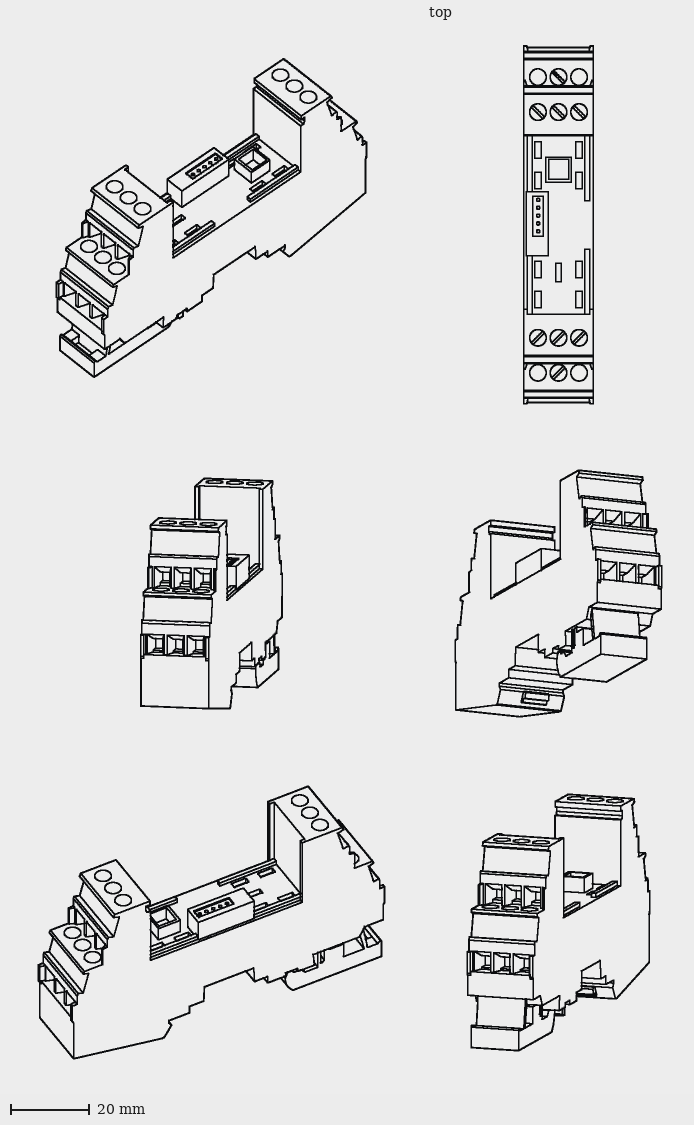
import cadquery as cq

WIDTH = 17.7
LENGTH = 91.05
HEIGHT = 50.98
HALF_WIDTH = WIDTH / 2
END_Y = LENGTH / 2

DECK_Z = 30.35
SHELF_Z = 35.25
RAIL_SEAT_Z = 13.9
BASE_Z = 6.9
STEP_Z = 9.1
FOOT_ROOF_Z = 10.7
CHIN_Z = 13.5
END_FACE_Y = END_Y - 0.35
HEAD_INNER_Y = 22.7
POST_INNER_Y = 21.45
KEEPER_BOTTOM_Y = 18.7
KEEPER_TOP_Y = 16.6

POLE_PITCH = 5.23
POLE_XS = [i * POLE_PITCH for i in (-1, 0, 1)]
SCREW_RADIUS = 2.1
SCREW_DEPTH = 5.0
DRIVER_SLOT_WIDTH = 0.65
DRIVER_SLOT_DEPTH = 0.6
DRIVER_SLOT_ANGLE = -45
UPPER_SCREW_Y = 28.7
LOWER_SCREW_Y = 37.6
TAB_DEPTH = 1.4
UPPER_TAB_Y = 36.75
UPPER_TAB_TOP = 40.7
UPPER_TAB_TIP_TOP = 40.5
UPPER_TAB_X = (8.0, 8.5)
LOWER_TAB_Y = END_Y
LOWER_TAB_TOP = 24.8
LOWER_TAB_BOTTOM = 19.3
LOWER_TAB_HEEL = 18.75
LOWER_TAB_X = (7.75, 8.05)
LOWER_FLOOR_Z = 19.7
FUNNEL_WIDTH = 4.4
FUNNEL_THROAT_WIDTH = 2.5
UPPER_THROAT_Z = (36.05, 38.8)
LOWER_THROAT_Z = (20.15, 23.2)
FUNNEL_DEPTH = 3.0
THROAT_DEPTH = 3.0

GUIDE_X = (6.7, 7.9)
GUIDE_TOP = 31.4
GUIDE_GAP_HALF = 6.2
POCKET_SIZE = (1.6, 4.2)
POCKET_X = 5.23
POCKET_YS = (19.0, 11.3)
CENTRE_POCKET_SIZE = (1.5, 4.75)
CENTRE_POCKET_Y = -12.1
POCKET_DEPTH = 1.5
SOCKET_SIZE = 6.4
SOCKET_BORE = 5.1
SOCKET_BORE_SHIFT = 0.12
SOCKET_Y = 14.07
SOCKET_TOP = 34.25
HEADER_X = (-8.15, -2.57)
HEADER_Y = (-7.87, 8.42)
HEADER_TOP = 36.4
HEADER_WELL_X = (-6.5, -3.85)
HEADER_WELL_Y = (-2.9, 7.35)
HEADER_WELL_DEPTH = 0.4
PIN_COUNT = 5
PIN_PITCH = 2.0
PIN_FIRST_Y = -1.63
PIN_RADIUS = 0.4
PIN_DEPTH = 2.0

FOOT_X = (-7.9, 4.87)
FOOT_FLOOR_Z = 4.95
NOTCH_Y = (-20.1, -16.65)
NOTCH_TOP = 8.0
KEEPER_X = (-2.5, 4.0)
CATCH_X = (5.3, 7.4)
CATCH_Y = (-18.4, NOTCH_Y[1])
CATCH_BOTTOM = 4.1
CATCH_BEVEL_Z = 4.65
CATCH_BEVEL_WIDTH = 0.5
ARM_ROOT_Y = -41.1
LIP_Y = -44.05
TOOL_SLOT_X = (-5.0, 1.8)
TOOL_SLOT_FLOOR_Z = 2.45


def box(x_range, y_range, z_range):
    """Axis-aligned block between pairs of limits."""
    size = [b - a for a, b in (x_range, y_range, z_range)]
    corner = (x_range[0], y_range[0], z_range[0])
    return cq.Workplane("XY").box(*size, centered=False).translate(corner)


def extrude_profile(points, x_range):
    """Closed (Y, Z) outline extruded along X."""
    plane = cq.Workplane("YZ", origin=(x_range[0], 0, 0))
    return plane.polyline(points).close().extrude(x_range[1] - x_range[0])


def both_ends(shape):
    """The shape together with its mirror image at the other end of the housing."""
    return shape.union(shape.mirror("XZ"))


def stepped_end():
    """(Y, Z) points down the +Y terminal steps, from the top edge to the end face."""
    return [
        (33.2, HEIGHT), (33.55, 50.1), (31.85, 49.5),
        (33.5, 43.4), (35.05, 43.85), (UPPER_TAB_Y - TAB_DEPTH, 43.25),
        (UPPER_TAB_Y - TAB_DEPTH, UPPER_TAB_TOP), (UPPER_TAB_Y, UPPER_TAB_TIP_TOP),
        (UPPER_TAB_Y, SHELF_Z), (42.05, SHELF_Z), (42.35, 34.5),
        (40.85, 33.9), (42.4, 27.95), (43.85, 28.4), (LOWER_TAB_Y - TAB_DEPTH, 27.6),
        (LOWER_TAB_Y - TAB_DEPTH, LOWER_TAB_TOP), (LOWER_TAB_Y, LOWER_TAB_TOP),
        (LOWER_TAB_Y, LOWER_TAB_BOTTOM), (END_FACE_Y, LOWER_TAB_HEEL),
    ]


def housing():
    """Full-width housing with two terminal towers and a rail channel beneath."""
    far_end = stepped_end()
    foot_end = [(-y, z) for y, z in reversed(far_end)]
    under_side = [
        (END_FACE_Y, 6.35), (19.4, 1.65), (KEEPER_BOTTOM_Y, 1.75), (KEEPER_TOP_Y, 5.05),
        (17.4, 6.1), (17.4, BASE_Z), (11.35, BASE_Z), (11.35, STEP_Z), (7.2, STEP_Z),
        (7.0, RAIL_SEAT_Z), (-7.35, RAIL_SEAT_Z), (-7.6, STEP_Z), (-11.45, STEP_Z),
        (-11.45, BASE_Z), (NOTCH_Y[1], BASE_Z), (NOTCH_Y[1], NOTCH_TOP),
        (NOTCH_Y[0], NOTCH_TOP), (-20.3, BASE_Z), (-24.95, BASE_Z),
        (-24.95, 8.25), (-24.7, FOOT_ROOF_Z), (-38.2, FOOT_ROOF_Z),
        (-39.75, CHIN_Z), (-END_FACE_Y, CHIN_Z),
    ]
    deck = [
        (-POST_INNER_Y, HEIGHT), (-POST_INNER_Y, DECK_Z), (HEAD_INNER_Y, DECK_Z),
        (HEAD_INNER_Y, 47.4), (23.7, 47.4), (24.1, 48.25), (24.1, 49.6), (22.9, 49.6),
        (22.9, HEIGHT),
    ]
    body = extrude_profile(far_end + under_side + foot_end + deck, (-HALF_WIDTH, HALF_WIDTH))
    between_posts = box(
        (-GUIDE_X[1], GUIDE_X[1]), (-HEAD_INNER_Y, -POST_INNER_Y), (DECK_Z, HEIGHT)
    )
    return body.cut(between_posts)


def tab_recess(tab_y, tab_x, bottom, top):
    """Space between the side tabs in front of one row of wire entries at the +Y end."""
    root_x, tip_x = tab_x
    root_y = tab_y - TAB_DEPTH
    outline = [(-root_x, root_y), (root_x, root_y), (tip_x, tab_y), (-tip_x, tab_y)]
    return cq.Workplane("XY", origin=(0, 0, bottom)).polyline(outline).close().extrude(top - bottom)


def wire_entries(face_y, bottom, top, throat_z):
    """Row of flat-floored funnels narrowing from the +Y wire-entry face to rectangular throats."""
    mouth_height = top - bottom
    neck_height = throat_z[1] - bottom
    neck_y = face_y - FUNNEL_DEPTH
    row = cq.Workplane("XY")
    for x in POLE_XS:
        funnel = (
            cq.Workplane("XZ", origin=(x, face_y, bottom + mouth_height / 2))
            .rect(FUNNEL_WIDTH, mouth_height)
            .workplane(offset=FUNNEL_DEPTH)
            .center(0, (neck_height - mouth_height) / 2)
            .rect(FUNNEL_THROAT_WIDTH, neck_height)
            .loft(combine=True)
        )
        throat_x = (x - FUNNEL_THROAT_WIDTH / 2, x + FUNNEL_THROAT_WIDTH / 2)
        throat = box(throat_x, (neck_y - THROAT_DEPTH, neck_y), throat_z)
        row = row.union(funnel).union(throat)
    return row


def screw_holes(screw_y, top, slotted_xs):
    """Row of screw wells at the +Y end; the named poles show a diagonal driver slot."""
    floor_z = top - SCREW_DEPTH
    wells = (
        cq.Workplane("XY", origin=(0, screw_y, top))
        .pushPoints([(x, 0) for x in POLE_XS])
        .circle(SCREW_RADIUS)
        .extrude(-SCREW_DEPTH)
    )
    slots = (
        cq.Workplane("XY", origin=(0, screw_y, floor_z))
        .pushPoints([(x, 0) for x in slotted_xs])
        .slot2D(2 * SCREW_RADIUS, DRIVER_SLOT_WIDTH, DRIVER_SLOT_ANGLE)
        .extrude(-DRIVER_SLOT_DEPTH)
    )
    return wells.union(slots)


def terminal_cuts():
    """Everything removed from the two terminal tiers at both ends."""
    upper_face = UPPER_TAB_Y - TAB_DEPTH
    lower_face = LOWER_TAB_Y - TAB_DEPTH
    cuts = tab_recess(UPPER_TAB_Y, UPPER_TAB_X, SHELF_Z, UPPER_TAB_TOP)
    cuts = cuts.union(tab_recess(LOWER_TAB_Y, LOWER_TAB_X, LOWER_FLOOR_Z, LOWER_TAB_TOP))
    cuts = cuts.union(box(
        (-LOWER_TAB_X[1], LOWER_TAB_X[1]), (END_FACE_Y, END_Y), (LOWER_TAB_HEEL, LOWER_FLOOR_Z)
    ))
    cuts = cuts.union(wire_entries(upper_face, SHELF_Z, UPPER_TAB_TOP, UPPER_THROAT_Z))
    cuts = cuts.union(wire_entries(lower_face, LOWER_FLOOR_Z, LOWER_TAB_TOP, LOWER_THROAT_Z))
    cuts = cuts.union(screw_holes(UPPER_SCREW_Y, HEIGHT, POLE_XS))
    cuts = cuts.union(screw_holes(LOWER_SCREW_Y, SHELF_Z, POLE_XS[1:2]))
    return both_ends(cuts)


def deck_guides():
    """Low guide ribs along both deck edges; the +X one is interrupted mid-length."""
    height = (DECK_Z, GUIDE_TOP)
    ends = (-HEAD_INNER_Y, HEAD_INNER_Y)
    left = box((-GUIDE_X[1], -GUIDE_X[0]), ends, height)
    right = box(GUIDE_X, ends, height)
    gap = box(GUIDE_X, (-GUIDE_GAP_HALF, GUIDE_GAP_HALF), height)
    return left.union(right.cut(gap))


def deck_pockets():
    """Shallow rectangular pockets sunk into the deck."""
    corners = [(sx * POCKET_X, sy * y) for sx in (-1, 1) for sy in (-1, 1) for y in POCKET_YS]
    deck = cq.Workplane("XY", origin=(0, 0, DECK_Z))
    sides = deck.pushPoints(corners).rect(*POCKET_SIZE).extrude(-POCKET_DEPTH)
    centre = deck.center(0, CENTRE_POCKET_Y).rect(*CENTRE_POCKET_SIZE).extrude(-POCKET_DEPTH)
    return sides.union(centre)


def square_socket():
    """Open-topped square box standing on the deck."""
    outer = cq.Workplane("XY", origin=(0, SOCKET_Y, DECK_Z)).rect(SOCKET_SIZE, SOCKET_SIZE)
    bore_centre = (SOCKET_BORE_SHIFT, SOCKET_Y + SOCKET_BORE_SHIFT, DECK_Z)
    bore = cq.Workplane("XY", origin=bore_centre).rect(SOCKET_BORE, SOCKET_BORE)
    height = SOCKET_TOP - DECK_Z
    return outer.extrude(height).cut(bore.extrude(height))


def pin_header():
    """Connector block with a shallow well and a row of contact holes."""
    well_floor = HEADER_TOP - HEADER_WELL_DEPTH
    pins_x = sum(HEADER_WELL_X) / 2
    pins = [(pins_x, PIN_FIRST_Y + i * PIN_PITCH) for i in range(PIN_COUNT)]
    holes = cq.Workplane("XY", origin=(0, 0, well_floor)).pushPoints(pins).circle(PIN_RADIUS)
    block = box(HEADER_X, HEADER_Y, (DECK_Z, HEADER_TOP))
    block = block.cut(box(HEADER_WELL_X, HEADER_WELL_Y, (well_floor, HEADER_TOP)))
    return block.cut(holes.extrude(-PIN_DEPTH))


def tool_slot():
    """Pocket between arm and lip; its back wall first follows the slope of the arm."""
    back_wall_y = -41.4
    outline = [
        (LIP_Y, FOOT_FLOOR_Z), (ARM_ROOT_Y, FOOT_FLOOR_Z), (back_wall_y, 3.55),
        (back_wall_y, TOOL_SLOT_FLOOR_Z), (LIP_Y, TOOL_SLOT_FLOOR_Z),
    ]
    return extrude_profile(outline, TOOL_SLOT_X)


def rail_foot():
    """Latching foot: hooked nose, two posts with a slot between, a sloping arm and a tool slot."""
    profile = (
        cq.Workplane("YZ", origin=(FOOT_X[0], 0, 0))
        .moveTo(-END_FACE_Y, 0)
        .lineTo(-19.4, 0)
        .threePointArc((-17.6, 2.45), (-17.1, 5.3))
        .polyline([
            (-17.8, BASE_Z), (-19.3, BASE_Z), (-19.55, 6.1), (-21.7, 6.1), (-22.85, 4.7),
            (-26.6, 4.7), (-26.6, FOOT_ROOF_Z), (-27.45, FOOT_ROOF_Z), (-27.45, 5.75),
            (-27.8, 5.75), (-28.5, 6.3), (-28.5, FOOT_ROOF_Z), (-29.9, FOOT_ROOF_Z),
            (-29.9, 9.35), (-34.1, 9.35), (-34.1, FOOT_FLOOR_Z), (-40.1, FOOT_FLOOR_Z),
            (-38.6, 11.4), (-39.6, 13.35), (ARM_ROOT_Y, FOOT_FLOOR_Z), (LIP_Y, FOOT_FLOOR_Z),
            (-44.8, 5.75), (-END_FACE_Y, 5.3),
        ], includeCurrent=True)
        .close()
    )
    foot = profile.extrude(FOOT_X[1] - FOOT_X[0])
    return foot.cut(tool_slot())


def rail_keeper():
    """Small resilient lug on the fixed rail hook at the far end."""
    lug = [
        (KEEPER_TOP_Y, 5.05), (15.8, 5.05), (15.2, 4.6), (15.6, 3.15), (16.5, 3.3),
        (17.0, 2.45), (17.7, 2.5), (18.3, 2.8),
    ]
    return extrude_profile(lug, KEEPER_X)


def catch():
    """Small block beside the foot, hanging from the notch in the housing base."""
    back_y, front_y = CATCH_Y
    outline = [
        (front_y, NOTCH_TOP), (back_y, NOTCH_TOP), (back_y, CATCH_BEVEL_Z),
        (back_y + CATCH_BEVEL_WIDTH, CATCH_BOTTOM), (front_y, CATCH_BOTTOM),
    ]
    return extrude_profile(outline, CATCH_X)


result = housing().cut(terminal_cuts()).cut(deck_pockets())
for feature in (deck_guides(), square_socket(), pin_header(), rail_foot(), rail_keeper(), catch()):
    result = result.union(feature)